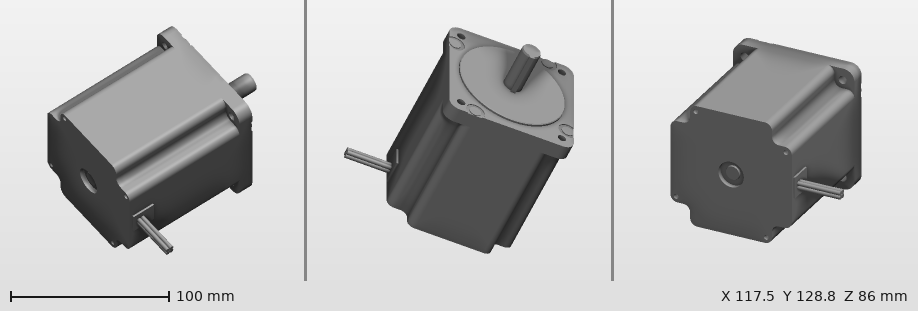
import cadquery as cq


body_side = 86.0
half_side = body_side / 2
flange_front = 97.1
flange_rear = 86.9
flange_corner_radius = 7.6
notch_side = 14.0
notch_radius = 5.0
mount_hole_offset = 34.8
mount_hole_diameter = 5.7

pilot_diameter = 72.9
pilot_height = 1.8
pilot_chamfer = 0.5

shaft_tip = 128.8
shaft_diameter = 12.7
lead_length = 1.3
lead_depth = 0.4
key_width = 3.2
key_bottom = 8.0

screw_near_offset = 25.0
screw_far_offset = 38.9
screw_head_diameter = 8.0
screw_recess_diameter = 12.9
screw_recess_depth = 0.6
rear_bore_diameter = 3.3
rear_bore_depth = 6.5

rear_recess_diameter = 18.0
rear_recess_depth = 3.3
shaft_end_diameter = 10.0

outlet_thickness = 1.3
outlet_y_min = 2.2
outlet_y_size = 16.1
outlet_z_size = 14.8
wire_diameter = 3.0
wire_pitch = 2.8
wire_center_y = 7.7
wire_end_x = 74.5

screw_points = [
    (screw_far_offset, screw_near_offset),
    (-screw_near_offset, screw_far_offset),
    (-screw_far_offset, -screw_near_offset),
    (screw_near_offset, -screw_far_offset),
]


def section_at(y):
    """Workplane across the motor axis: local x = X, local y = Z, normal = -Y."""
    return cq.Workplane("XZ", origin=(0, y, 0))


def cylinders(points, diameter, y_start, y_end):
    """Cylinders parallel to the motor axis, centred on (X, Z) points."""
    return section_at(y_start).pushPoints(points).circle(diameter / 2).extrude(y_start - y_end)


def cylinder(diameter, y_start, y_end):
    return cylinders([(0, 0)], diameter, y_start, y_end)


def square_block(side, y_start, y_end):
    return section_at(y_start).rect(side, side).extrude(y_start - y_end)


def make_body():
    """Square block whose four corners are notched with rounded edges."""
    block = square_block(body_side, 0, flange_rear)
    notch_center = half_side - notch_side / 2
    for x_sign in (-1, 1):
        for z_sign in (-1, 1):
            notch = (
                section_at(0)
                .center(x_sign * notch_center, z_sign * notch_center)
                .rect(notch_side, notch_side)
                .extrude(-flange_rear)
            )
            block = block.cut(notch)
    return block.edges("|Y").fillet(notch_radius)


def make_flange():
    flange = square_block(body_side, flange_rear, flange_front)
    flange = flange.edges("|Y").fillet(flange_corner_radius)
    offset = mount_hole_offset
    hole_points = [(x, z) for x in (-offset, offset) for z in (-offset, offset)]
    return flange.cut(cylinders(hole_points, mount_hole_diameter, flange_rear, flange_front))


def make_pilot():
    pilot = cylinder(pilot_diameter, flange_front, flange_front + pilot_height)
    return pilot.faces(">Y").chamfer(pilot_chamfer)


def lead_cone(base_diameter, y_base, y_direction):
    """Slender lead-in cone that ends a shaft pointing along +Y (1) or -Y (-1)."""
    base_radius = base_diameter / 2
    cone = cq.Solid.makeCone(
        base_radius,
        base_radius - lead_depth,
        lead_length,
        pnt=cq.Vector(0, y_base, 0),
        dir=cq.Vector(0, y_direction, 0),
    )
    return cq.Workplane(obj=cone)


def make_shaft():
    """Round shaft with a lead-in at its tip, and a key along its -Z side."""
    lead_start = shaft_tip - lead_length
    shaft = cylinder(shaft_diameter, flange_front, lead_start)
    shaft = shaft.union(lead_cone(shaft_diameter, lead_start, 1))
    key = cq.Workplane("XY").box(
        key_width, shaft_tip - flange_front, key_bottom, centered=(True, False, False)
    )
    return shaft.union(key.translate((0, flange_front, -key_bottom)))


def add_screws(motor):
    """Sink the screw recesses, which break out of the flange sides, around their heads."""
    recess_floor = flange_front - screw_recess_depth
    recesses = cylinders(screw_points, screw_recess_diameter, recess_floor, flange_front)
    heads = cylinders(screw_points, screw_head_diameter, recess_floor, flange_front)
    rear_bores = cylinders(screw_points, rear_bore_diameter, 0, rear_bore_depth)
    return motor.cut(recesses.cut(heads)).cut(rear_bores)


def add_rear_recess(motor):
    """Round recess with the tapered shaft end standing on its floor."""
    recess = cylinder(rear_recess_diameter, 0, rear_recess_depth)
    shaft_end = lead_cone(shaft_end_diameter, rear_recess_depth, -1)
    return motor.cut(recess).union(shaft_end)


def make_cable():
    """Flat outlet plate with a bundle of two by two straight wires."""
    plate = cq.Workplane("XY").box(
        outlet_thickness, outlet_y_size, outlet_z_size, centered=(False, False, True)
    )
    plate = plate.translate((half_side, outlet_y_min, 0))
    wire = (
        cq.Workplane("YZ", origin=(half_side, wire_center_y, 0))
        .circle(wire_diameter / 2)
        .extrude(wire_end_x - half_side)
    )
    cable = plate
    for y_shift in (-wire_pitch / 2, wire_pitch / 2):
        for z_shift in (-wire_pitch / 2, wire_pitch / 2):
            cable = cable.union(wire.translate((0, y_shift, z_shift)))
    return cable


motor = make_body().union(make_flange()).union(make_pilot()).union(make_shaft())
motor = add_screws(motor)
motor = add_rear_recess(motor)
result = motor.union(make_cable())